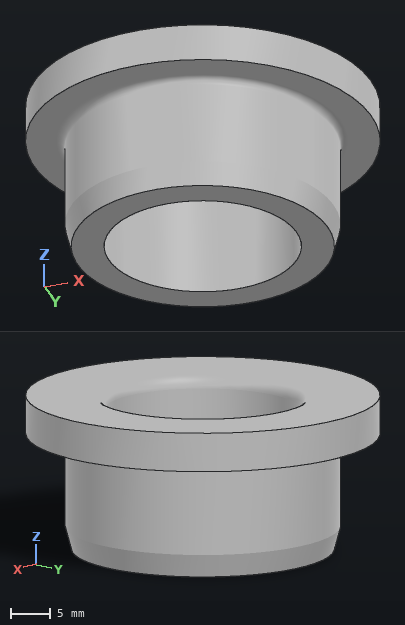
import cadquery as cq
import math

flange_diameter = 45.0
body_diameter = 35.0
bore_diameter = 25.0
total_height = 20.0
flange_thickness = 5.0

bore_entry_radius = 2.0
neck_fillet_radius = 1.0
lead_in_height = 3.0
lead_in_angle = 15.0

flange_radius = flange_diameter / 2
body_radius = body_diameter / 2
bore_radius = bore_diameter / 2
body_length = total_height - flange_thickness
tip_radius = body_radius - lead_in_height * math.tan(math.radians(lead_in_angle))

arc_inset = 1 - math.sqrt(0.5)

half_section = (
    cq.Workplane("XZ")
    .moveTo(bore_radius, 0)
    .lineTo(tip_radius, 0)
    .lineTo(body_radius, lead_in_height)
    .lineTo(body_radius, body_length - neck_fillet_radius)
    .threePointArc(
        (body_radius + neck_fillet_radius * arc_inset, body_length - neck_fillet_radius * arc_inset),
        (body_radius + neck_fillet_radius, body_length),
    )
    .lineTo(flange_radius, body_length)
    .lineTo(flange_radius, total_height)
    .lineTo(bore_radius + bore_entry_radius, total_height)
    .threePointArc(
        (bore_radius + bore_entry_radius * arc_inset, total_height - bore_entry_radius * arc_inset),
        (bore_radius, total_height - bore_entry_radius),
    )
    .close()
)

result = half_section.revolve(360, (0, 0, 0), (0, 1, 0))